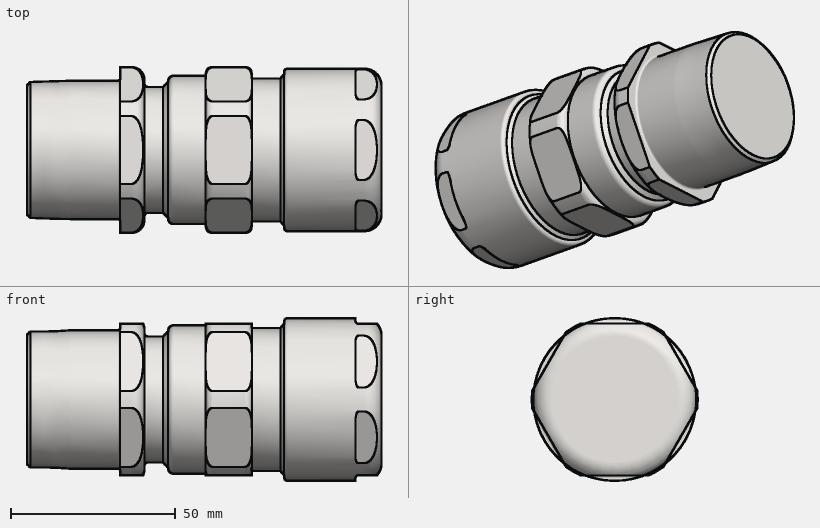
import cadquery as cq
import math


hex_sides = 6
across_flats = 46.0
corner_diameter = 50.5
flat_distance = across_flats / 2
corner_radius = corner_diameter / 2

entry_tip_chamfer = 1.1
entry_taper_end = 13.4
entry_tip_radius = 41.4 / 2
entry_barrel_radius = 42.1 / 2
entry_hex_start = 28.4
entry_hex_end = 35.8
entry_hex_rounding = 4.1
entry_hex_root_fillet = 0.6
entry_neck_radius = 38.4 / 2
entry_neck_fillet = 0.9
entry_flare_start = 41.4
entry_flare_radius = 20.7

middle_start = 42.9
middle_barrel_radius = 45.2 / 2
middle_rounding = 1.7
middle_hex_start = 54.3
middle_hex_end = 68.3
middle_hex_rounding = 2.0
middle_neck_radius = 43.5 / 2
middle_flare_start = 77.1
middle_flare_radius = 23.1

cap_start = 78.2
cap_end = 107.8
cap_radius = 49.5 / 2
cap_start_rounding = 1.1
cap_end_rounding = 5.4
cap_flats_start = 99.8
cap_flats_fillet = 1.0

diagonal = math.cos(math.pi / 4)


def arc_corner(path, start, end, bulge):
    """Add a quarter arc from start to end; bulge is the outline corner that the arc rounds off."""
    centre_x = start[0] + end[0] - bulge[0]
    centre_r = start[1] + end[1] - bulge[1]
    middle = (
        centre_x + (bulge[0] - centre_x) * diagonal,
        centre_r + (bulge[1] - centre_r) * diagonal,
    )
    return path.lineTo(*start).threePointArc(middle, end)


def rise(path, x, radius, rounding):
    """Step up at x to a larger radius, with a convex rounding on its outer edge."""
    return arc_corner(path, (x, radius - rounding), (x + rounding, radius), (x, radius))


def drop(path, x, radius, rounding):
    """Step down at x from a larger radius, with a convex rounding on its outer edge."""
    return arc_corner(path, (x - rounding, radius), (x, radius - rounding), (x, radius))


def revolve_about_x(path):
    return path.close().revolve(360, (0, 0, 0), (1, 0, 0))


def hexagon_prism(start, end):
    """Hexagonal prism along X with two flats facing +Z and -Z."""
    point_to_point = across_flats / math.cos(math.pi / hex_sides)
    return cq.Workplane("YZ", origin=(start, 0, 0)).polygon(hex_sides, point_to_point).extrude(end - start)


def make_entry_hexagon():
    """Thin hexagon whose corners are turned down and whose +X edge is strongly rounded."""
    blank = cq.Workplane("XY").moveTo(entry_hex_start, 0).lineTo(entry_hex_start, corner_radius)
    blank = drop(blank, entry_hex_end, corner_radius, entry_hex_rounding).lineTo(entry_hex_end, 0)
    return revolve_about_x(blank).intersect(hexagon_prism(entry_hex_start, entry_hex_end))


def make_entry_body():
    outline = (
        cq.Workplane("XY")
        .lineTo(0, entry_tip_radius - entry_tip_chamfer)
        .lineTo(entry_tip_chamfer, entry_tip_radius)
        .lineTo(entry_taper_end, entry_barrel_radius)
    )
    outline = arc_corner(
        outline,
        (entry_hex_start - entry_hex_root_fillet, entry_barrel_radius),
        (entry_hex_start, entry_barrel_radius + entry_hex_root_fillet),
        (entry_hex_start, entry_barrel_radius),
    ).lineTo(entry_hex_end, entry_barrel_radius + entry_hex_root_fillet)
    outline = arc_corner(
        outline,
        (entry_hex_end, entry_neck_radius + entry_neck_fillet),
        (entry_hex_end + entry_neck_fillet, entry_neck_radius),
        (entry_hex_end, entry_neck_radius),
    )
    outline = (
        outline.lineTo(entry_flare_start, entry_neck_radius)
        .lineTo(middle_start, entry_flare_radius)
        .lineTo(middle_start, 0)
    )
    return revolve_about_x(outline).union(make_entry_hexagon())


def make_middle_hexagon():
    """Hexagon whose corners are turned down and whose edges are rounded at both ends."""
    blank = cq.Workplane("XY").moveTo(middle_hex_start, 0)
    blank = rise(blank, middle_hex_start, corner_radius, middle_hex_rounding)
    blank = drop(blank, middle_hex_end, corner_radius, middle_hex_rounding).lineTo(middle_hex_end, 0)
    return revolve_about_x(blank).intersect(hexagon_prism(middle_hex_start, middle_hex_end))


def make_middle_body():
    outline = cq.Workplane("XY").moveTo(middle_start, 0)
    outline = rise(outline, middle_start, middle_barrel_radius, middle_rounding)
    outline = (
        outline.lineTo(middle_hex_start, middle_barrel_radius)
        .lineTo(middle_hex_start, middle_neck_radius)
        .lineTo(middle_flare_start, middle_neck_radius)
        .lineTo(cap_start, middle_flare_radius)
        .lineTo(cap_start, 0)
    )
    return revolve_about_x(outline).union(make_middle_hexagon())


def make_flat_cutter():
    """Block that mills one wrench flat on the +Z side of the cap, with a filleted root."""
    length = cap_end - cap_flats_start
    height = corner_radius - flat_distance
    return (
        cq.Workplane("XY", origin=(cap_flats_start, 0, flat_distance))
        .box(length, 2 * cap_radius, height, centered=(False, True, False))
        .edges("<X and <Z")
        .fillet(cap_flats_fillet)
    )


def make_cap_nut():
    outline = cq.Workplane("XY").moveTo(cap_start, 0)
    outline = rise(outline, cap_start, cap_radius, cap_start_rounding)
    outline = drop(outline, cap_end, cap_radius, cap_end_rounding).lineTo(cap_end, 0)
    cap = revolve_about_x(outline)
    cutter = make_flat_cutter()
    for side in range(hex_sides):
        cap = cap.cut(cutter.rotate((0, 0, 0), (1, 0, 0), 360 / hex_sides * side))
    return cap


entry_body = make_entry_body()
middle_body = make_middle_body()
cap_nut = make_cap_nut()

result = cq.Compound.makeCompound([entry_body.val(), middle_body.val(), cap_nut.val()])